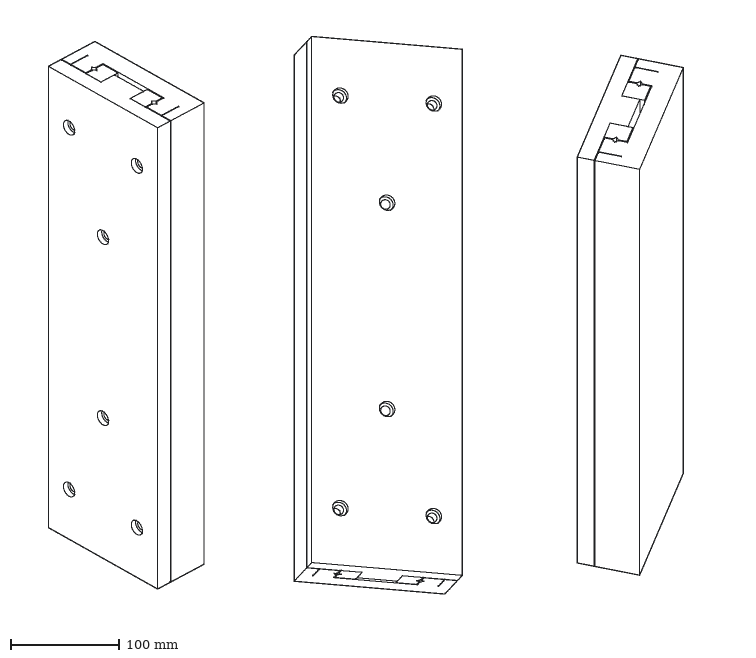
import cadquery as cq

LENGTH = 510.0
WIDTH = 145.0
THICKNESS = 60.0
FRONT_Y = -THICKNESS / 2
BACK_Y = THICKNESS / 2
SIDE_X = WIDTH / 2
BOTTOM_Z = -LENGTH / 2

PLATE_THICKNESS = 16.5
TONGUE_HALF_WIDTH = 19.5
TONGUE_HEIGHT = 17.5
PLATE_BACK_Y = FRONT_Y + PLATE_THICKNESS
TONGUE_BACK_Y = PLATE_BACK_Y + TONGUE_HEIGHT

RAIL_GAP = 1.0
SEAM_GAP = 0.75

CHANNEL_HALF_WIDTH = 40.5
CHANNEL_BACK_FROM_FRONT = 39.5
CHANNEL_BACK_Y = FRONT_Y + CHANNEL_BACK_FROM_FRONT

SLIT_X = 60.0
SLIT_WIDTH = 0.5

RAIL_OUTER_X = CHANNEL_HALF_WIDTH - RAIL_GAP
RAIL_BACK_Y = CHANNEL_BACK_Y - RAIL_GAP

GROOVE_FROM_FRONT = 27.5
GROOVE_Y = FRONT_Y + GROOVE_FROM_FRONT
GROOVE_DEPTH = 3.0
GROOVE_HALF_HEIGHT = 2.5

BORE_DIAMETER = 9.0
COUNTERBORE_DIAMETER = 15.0
COUNTERBORE_DEPTH = 5.5
CORNER_HOLE_X = 45.0
CORNER_HOLE_Z = 200.0
CENTRE_HOLE_Z = 100.0


def bar(points):
    """Extrude a closed XY section over the full length."""
    return cq.Workplane("XY").workplane(offset=BOTTOM_Z).polyline(points).close().extrude(LENGTH)


def box_bar(x_min, x_max, y_min, y_max):
    """Make a full-length bar of rectangular section."""
    return bar([(x_min, y_min), (x_max, y_min), (x_max, y_max), (x_min, y_max)])


def make_base():
    """Base plate with its tongue and counterbored mounting holes."""
    base = box_bar(-SIDE_X, SIDE_X, FRONT_Y, PLATE_BACK_Y)
    base = base.union(box_bar(-TONGUE_HALF_WIDTH, TONGUE_HALF_WIDTH, PLATE_BACK_Y, TONGUE_BACK_Y))
    hole_points = [(x, z) for x in (-CORNER_HOLE_X, CORNER_HOLE_X) for z in (-CORNER_HOLE_Z, CORNER_HOLE_Z)]
    hole_points += [(0, -CENTRE_HOLE_Z), (0, CENTRE_HOLE_Z)]
    front = cq.Workplane("XZ", origin=(0, FRONT_Y, 0))
    bores = front.pushPoints(hole_points).circle(BORE_DIAMETER / 2).extrude(-PLATE_THICKNESS - TONGUE_HEIGHT)
    counterbores = front.pushPoints(hole_points).circle(COUNTERBORE_DIAMETER / 2).extrude(-COUNTERBORE_DEPTH)
    return base.cut(bores).cut(counterbores)


def make_groove(x_face, direction):
    """V-shaped cutter reaching from a vertical face in the given X direction."""
    return bar(
        [
            (x_face, GROOVE_Y - GROOVE_HALF_HEIGHT),
            (x_face + direction * GROOVE_DEPTH, GROOVE_Y),
            (x_face, GROOVE_Y + GROOVE_HALF_HEIGHT),
        ]
    )


def make_table():
    """Moving table with its channel, slits and grooves."""
    front_y = PLATE_BACK_Y + SEAM_GAP
    table = box_bar(-SIDE_X, SIDE_X, front_y, BACK_Y)
    table = table.cut(box_bar(-CHANNEL_HALF_WIDTH, CHANNEL_HALF_WIDTH, front_y, CHANNEL_BACK_Y))
    for side in (-1, 1):
        x = side * SLIT_X
        table = table.cut(box_bar(x - SLIT_WIDTH / 2, x + SLIT_WIDTH / 2, front_y, CHANNEL_BACK_Y))
        table = table.cut(make_groove(side * CHANNEL_HALF_WIDTH, side))
    return table


def make_rail(side):
    """Grooved guide rail on one side of the tongue."""
    rail = box_bar(side * TONGUE_HALF_WIDTH, side * RAIL_OUTER_X, PLATE_BACK_Y, RAIL_BACK_Y)
    return rail.cut(make_groove(side * RAIL_OUTER_X, -side))


base = make_base()
table = make_table()
rails = [make_rail(side) for side in (-1, 1)]

result = cq.Compound.makeCompound([base.val(), table.val(), *[rail.val() for rail in rails]])